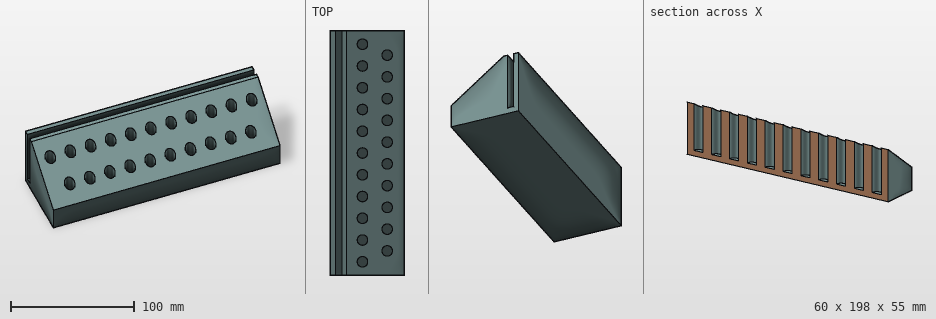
import cadquery as cq

width = 60.0
length = 198.0
height = 55.0

front_wall = 4.2
slot_width = 5.3
floor_thickness = 5.1
ridge_width = 3.5
low_side_height = 20.0

hole_diameter = 8.5
upper_row_holes = 11
lower_row_holes = upper_row_holes - 1
upper_row_x = 26.1
row_spacing = 20.0
end_margin = 11.0

slot_end_x = front_wall + slot_width
slope_start_x = slot_end_x + ridge_width
lower_row_x = upper_row_x + row_spacing
hole_pitch = (length - 2 * end_margin) / (upper_row_holes - 1)


def make_body():
    """Slotted wedge, extruded along Y and centred on Y = 0."""
    outline = [
        (0, 0),
        (width, 0),
        (width, low_side_height),
        (slope_start_x, height),
        (slot_end_x, height),
        (slot_end_x, floor_thickness),
        (front_wall, floor_thickness),
        (front_wall, height),
        (0, height),
    ]
    return cq.Workplane("XZ").polyline(outline).close().extrude(length / 2, both=True)


def make_hole_row(row_x, count):
    """Evenly spaced vertical cutters along Y, all starting at the floor level."""
    return (
        cq.Workplane("XY", origin=(row_x, 0, floor_thickness))
        .rarray(2, hole_pitch, 1, count)
        .circle(hole_diameter / 2)
        .extrude(height)
    )


upper_row = make_hole_row(upper_row_x, upper_row_holes)
lower_row = make_hole_row(lower_row_x, lower_row_holes)

result = make_body().cut(upper_row).cut(lower_row)